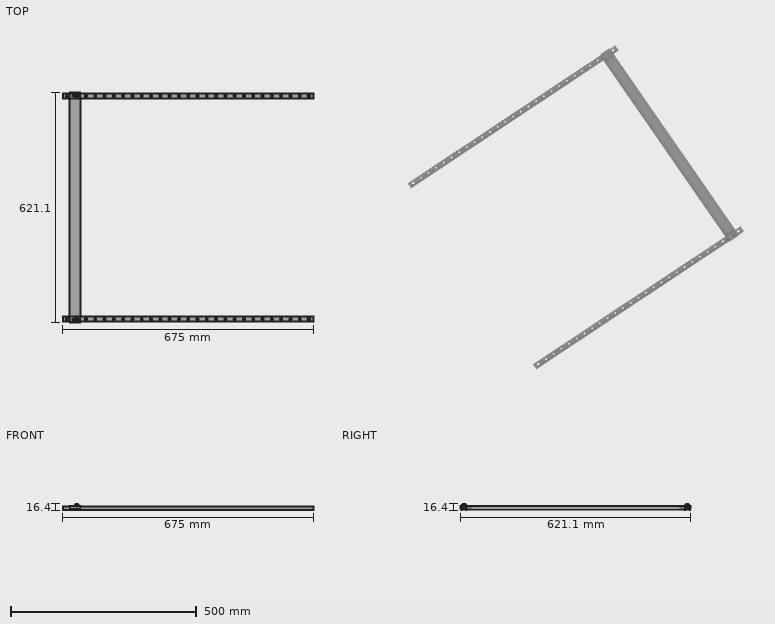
import cadquery as cq

rail_length = 675.0
rail_width = 15.0
rail_height = 10.0
rail_sheet = 1.5
rail_center_y = 300.5
rail_inner_y = rail_center_y - rail_width / 2
rail_outer_y = rail_center_y + rail_width / 2
hole_count = 27
hole_pitch = rail_length / hole_count
hole_diameter = 5.05
end_hole_diameter = 7.0
screw_hole_index = 1

bar_x = 33.0
bar_width = 32.0
bar_height = 11.0
bar_sheet = 1.55
bar_top = rail_height + bar_sheet
tab_width = 28.5
lip_height = 7.5
lip_gap = 1.0
bar_end_y = rail_outer_y + lip_gap + bar_sheet
pilot_diameter = 6.0
pilot_x = 28.5

screw_x = (screw_hole_index + 0.5) * hole_pitch
screw_diameter = 6.0
screw_length = 10.0
head_diameter = 11.5
head_top_diameter = 6.0
head_height = 4.85
head_rim_height = 2.35
socket_width = 4.0
socket_depth = 2.0
collar_width = 10.0
collar_height = 5.0


def box(x_size, y_size, z_size, x, y, z):
    """Box centred on x and y, with its underside at z."""
    block = cq.Workplane("XY").box(x_size, y_size, z_size, centered=(True, True, False))
    return block.translate((x, y, z))


def cylinder(diameter, height, x, y, z):
    """Upright cylinder with its underside at z."""
    return cq.Workplane("XY").circle(diameter / 2).extrude(height).translate((x, y, z))


def hexagon(flat_width, height, x, y, z):
    """Upright hexagonal prism with two flats facing +Y and -Y and its underside at z."""
    prism = cq.Workplane("XY").polygon(6, flat_width, circumscribed=True).extrude(height)
    return prism.translate((x, y, z))


def rail_hole_diameter(index):
    if index == screw_hole_index:
        return screw_diameter
    if index in (0, hole_count - 1):
        return end_hole_diameter
    return hole_diameter


def make_rail(y):
    middle_x = rail_length / 2
    web_underside = rail_height - rail_sheet
    rail = box(rail_length, rail_width, rail_height, middle_x, y, 0)
    rail = rail.cut(box(rail_length, rail_width - 2 * rail_sheet, web_underside, middle_x, y, 0))
    for index in range(hole_count):
        hole_x = (index + 0.5) * hole_pitch
        rail = rail.cut(cylinder(rail_hole_diameter(index), rail_height, hole_x, y, 0))
    return rail


def make_crossbar():
    span = 2 * rail_inner_y
    flange_bottom = bar_top - bar_height
    bar = box(bar_width, span, bar_height, bar_x, 0, flange_bottom)
    bar = bar.cut(box(bar_width - 2 * bar_sheet, span, bar_height - bar_sheet, bar_x, 0, flange_bottom))

    bar = bar.union(box(tab_width, 2 * bar_end_y, bar_sheet, bar_x, 0, rail_height))

    for side in (-1, 1):
        lip_y = side * (bar_end_y - bar_sheet / 2)
        bar = bar.union(box(tab_width, bar_sheet, lip_height, bar_x, lip_y, bar_top - lip_height))
        for x, diameter in ((screw_x, screw_diameter), (pilot_x, pilot_diameter)):
            bar = bar.cut(cylinder(diameter, bar_sheet, x, side * rail_center_y, rail_height))
    return bar


def make_screw(y):
    head = (
        cq.Workplane("XZ")
        .lineTo(head_diameter / 2, 0)
        .lineTo(head_diameter / 2, head_rim_height)
        .lineTo(head_top_diameter / 2, head_height)
        .lineTo(0, head_height)
        .close()
        .revolve(360, (0, 0), (0, 1))
        .translate((screw_x, y, bar_top))
    )
    head = head.cut(hexagon(socket_width, socket_depth, screw_x, y, bar_top + head_height - socket_depth))

    shank = cylinder(screw_diameter, screw_length, screw_x, y, bar_top - screw_length)
    collar_bottom = rail_height - rail_sheet - collar_height
    collar = hexagon(collar_width, collar_height, screw_x, y, collar_bottom)
    return head.union(shank).union(collar)


crossbar = make_crossbar()
bodies = [crossbar.val()]
for side in (-1, 1):
    rail = make_rail(side * rail_center_y)
    screw = make_screw(side * rail_center_y)
    bodies.append(rail.val())
    bodies.append(screw.val())

result = cq.Compound.makeCompound(bodies)